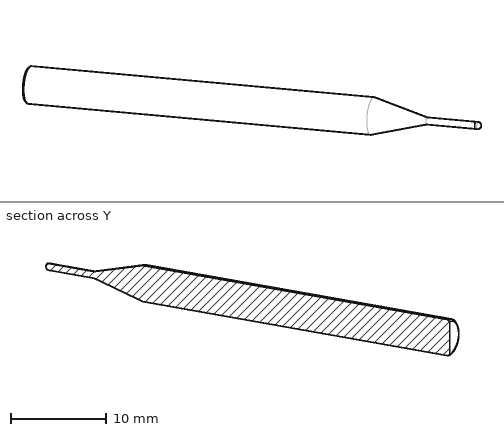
import cadquery as cq
import math

overall_length = 50.0
shank_diameter = 4.0
shank_chamfer = 0.2
shank_length = 38.0
taper_length = 6.0
neck_diameter = 0.78
ball_diameter = 0.8
cutter_land_length = 0.2

shank_radius = shank_diameter / 2
neck_radius = neck_diameter / 2
ball_radius = ball_diameter / 2
neck_start = shank_length + taper_length
ball_start = overall_length - ball_radius
cutter_start = ball_start - cutter_land_length
ball_arc_offset = ball_radius * math.sqrt(0.5)


def tool_half_profile():
    """Half section of the tool, in X (along the axis) and Y (radius)."""
    return (
        cq.Workplane("XY")
        .moveTo(0, 0)
        .lineTo(0, shank_radius - shank_chamfer)
        .lineTo(shank_chamfer, shank_radius)
        .lineTo(shank_length, shank_radius)
        .lineTo(neck_start, neck_radius)
        .lineTo(cutter_start, neck_radius)
        .lineTo(cutter_start, ball_radius)
        .lineTo(ball_start, ball_radius)
        .threePointArc((ball_start + ball_arc_offset, ball_arc_offset), (overall_length, 0))
        .close()
    )


result = tool_half_profile().revolve(360, (0, 0, 0), (1, 0, 0))